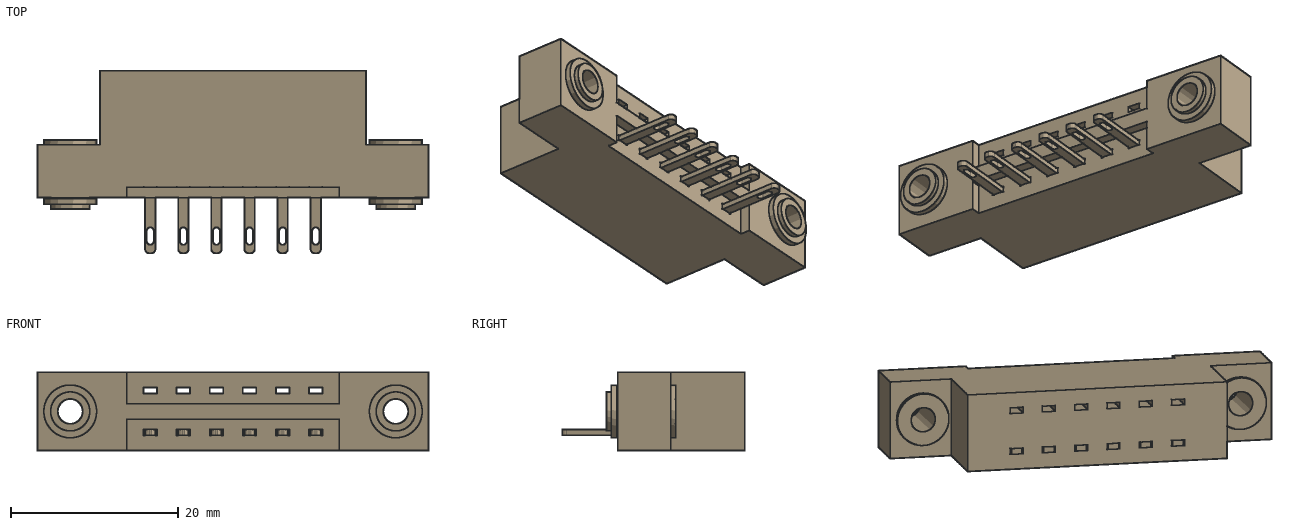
import cadquery as cq

LENGTH = 46.8
HEIGHT = 9.4
TOTAL_DEPTH = 21.85

HOUSING_DEPTH = 15.2
EAR_LENGTH = 7.5
EAR_SETBACK = 8.85
RECESS_LENGTH = 25.35
RECESS_DEPTH = 1.25
RIB_HEIGHT = 1.82

CONTACT_COUNT = 6
CONTACT_ROW_LENGTH = 19.8
ROW_INSET = 2.2
SLOT_WIDTH = 1.6
CONTACT_THICKNESS = 0.7

CONTACT_WIDTH = 1.25
TIP_RADIUS = 0.5
EYE_WIDTH = 0.8
EYE_LENGTH = 2.05
EYE_TO_TIP = 2.05

EYELET_INSET = 3.95
FLANGE_DIAMETER = 6.3
BARREL_DIAMETER = 4.7
BORE_DIAMETER = 2.95
BACK_FLANGE_THICKNESS = 0.55
FRONT_FLANGE_THICKNESS = 0.7
FRONT_FLANGE_GAP = 0.1
BARREL_PROTRUSION = 0.55

FRONT_Y = -HOUSING_DEPTH
TIP_Y = -TOTAL_DEPTH
EAR_BACK_Y = -EAR_SETBACK
ROW_Z = HEIGHT / 2 - ROW_INSET
EYELET_X = LENGTH / 2 - EYELET_INSET
CONTACT_PITCH = CONTACT_ROW_LENGTH / (CONTACT_COUNT - 1)
CONTACT_X = [i * CONTACT_PITCH - CONTACT_ROW_LENGTH / 2 for i in range(CONTACT_COUNT)]


def box(x_size, y_front, y_back, z_size, x=0.0, z=0.0):
    """Box centred on x and z that reaches from y_front to y_back."""
    middle = (x, (y_front + y_back) / 2, z)
    return cq.Workplane("XY").box(x_size, y_back - y_front, z_size).translate(middle)


def rod(diameter, y_front, y_back, x):
    """Round rod along Y, centred on Z = 0."""
    return cq.Workplane("XZ", origin=(x, y_back, 0)).circle(diameter / 2).extrude(y_back - y_front)


def make_housing():
    body = box(LENGTH - 2 * EAR_LENGTH, FRONT_Y, 0, HEIGHT)
    housing = body.union(box(LENGTH, FRONT_Y, EAR_BACK_Y, HEIGHT))

    recess_height = (HEIGHT - RIB_HEIGHT) / 2
    recess_z = (RIB_HEIGHT + recess_height) / 2
    for z in (recess_z, -recess_z):
        housing = housing.cut(box(RECESS_LENGTH, FRONT_Y, FRONT_Y + RECESS_DEPTH, recess_height, z=z))

    for z in (ROW_Z, -ROW_Z):
        for x in CONTACT_X:
            housing = housing.cut(box(SLOT_WIDTH, FRONT_Y, 0, CONTACT_THICKNESS, x, z))

    for x in (-EYELET_X, EYELET_X):
        housing = housing.cut(rod(BARREL_DIAMETER, FRONT_Y, EAR_BACK_Y, x))
    return housing


def make_contact(x):
    """Flat contact in the lower row, with a rounded tip and an eye for the wire."""
    blade = box(CONTACT_WIDTH, TIP_Y, 0, CONTACT_THICKNESS, x, -ROW_Z)
    blade = blade.faces("<Y").edges("|Z").fillet(TIP_RADIUS)
    eye = (
        cq.Workplane("XY", origin=(x, TIP_Y + EYE_TO_TIP, -ROW_Z))
        .slot2D(EYE_LENGTH, EYE_WIDTH, 90)
        .extrude(CONTACT_THICKNESS, both=True)
    )
    return blade.cut(eye)


def make_eyelet(x):
    """Barrel through an ear, with a flange at the back, one just off the front and a bore from end to end."""
    flange_back_y = FRONT_Y - FRONT_FLANGE_GAP
    flange_front_y = flange_back_y - FRONT_FLANGE_THICKNESS
    barrel_front_y = flange_front_y - BARREL_PROTRUSION
    back_y = EAR_BACK_Y + BACK_FLANGE_THICKNESS
    eyelet = rod(BARREL_DIAMETER, barrel_front_y, back_y, x)
    eyelet = eyelet.union(rod(FLANGE_DIAMETER, flange_front_y, flange_back_y, x))
    eyelet = eyelet.union(rod(FLANGE_DIAMETER, EAR_BACK_Y, back_y, x))
    return eyelet.cut(rod(BORE_DIAMETER, barrel_front_y, back_y, x))


housing = make_housing()
contacts = [make_contact(x) for x in CONTACT_X]
eyelets = [make_eyelet(x) for x in (-EYELET_X, EYELET_X)]

result = cq.Compound.makeCompound(
    [housing.val(), *[contact.val() for contact in contacts], *[eyelet.val() for eyelet in eyelets]]
)